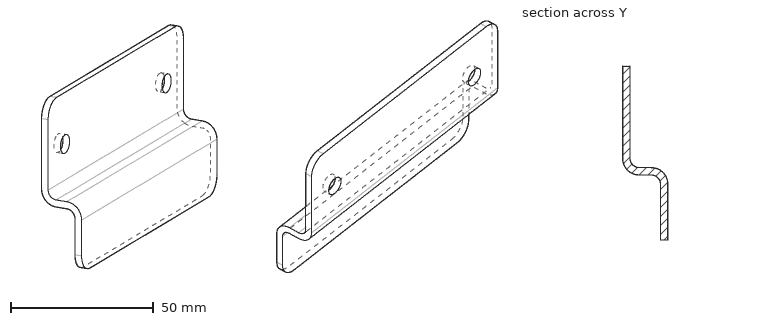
import cadquery as cq

thickness = 2.66
inner_radius = 3.175
outer_radius = inner_radius + thickness

depth = 15.88
width = 101.6
upper_flange = 38.1
lower_flange = 25.4
height = upper_flange + lower_flange - thickness

web_top = lower_flange
web_bottom = web_top - thickness
lower_flange_face = depth - thickness

corner_radius = 6.35
hole_diameter = 6.73
hole_spacing = 76.2
hole_z = height - upper_flange / 2


def sharp_sheet():
    """Z-shaped strip with square bends: upper flange at X = 0, lower flange at X = depth."""
    profile = (
        cq.Workplane("XZ")
        .moveTo(0, height)
        .lineTo(0, web_bottom)
        .lineTo(lower_flange_face, web_bottom)
        .lineTo(lower_flange_face, 0)
        .lineTo(depth, 0)
        .lineTo(depth, web_top)
        .lineTo(thickness, web_top)
        .lineTo(thickness, height)
        .close()
    )
    return profile.extrude(width / 2, both=True)


def round_bend(body, x, z, radius):
    """Round the bend edge that runs along Y at the given X and Z."""
    bend_edge = cq.selectors.NearestToPointSelector((x, 0, z))
    return body.edges("|Y").edges(bend_edge).fillet(radius)


def round_flange_corners(body):
    """Round the four free corners at the upper and lower edges."""
    return body.faces(">Z or <Z").edges("|X").fillet(corner_radius)


def mounting_holes():
    """Pair of cylinders through the upper flange, along X."""
    centres = [(side * hole_spacing / 2, hole_z) for side in (-1, 1)]
    return cq.Workplane("YZ").pushPoints(centres).circle(hole_diameter / 2).extrude(thickness)


result = sharp_sheet()
for bend_x, bend_z, bend_radius in (
    (0, web_bottom, outer_radius),
    (thickness, web_top, inner_radius),
    (depth, web_top, outer_radius),
    (lower_flange_face, web_bottom, inner_radius),
):
    result = round_bend(result, bend_x, bend_z, bend_radius)
result = round_flange_corners(result)
result = result.cut(mounting_holes())